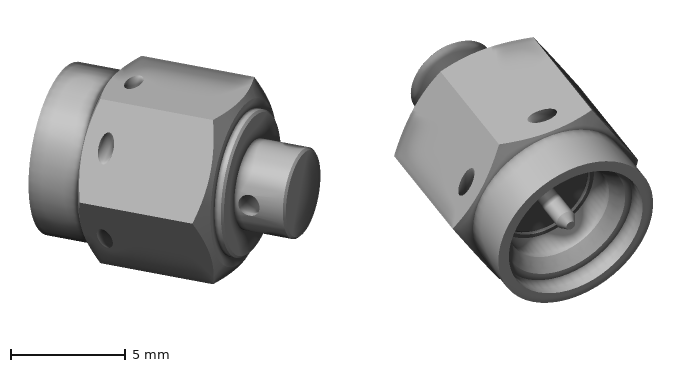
import cadquery as cq
import math


collar_radius = 3.85
collar_length = 2.31
hex_across_flats = 8.0
hex_end = 8.6
hex_rear_face_radius = 3.76
hex_chamfer_angle = 30

mouth_radius = 3.33
mouth_depth = 0.96
socket_entry_radius = 2.99
socket_radius = 2.5
socket_cone_end = 1.53
socket_floor = 2.92

insulator_radius = 2.3
insulator_chamfer = 0.13
insulator_setback = 0.05

pin_radius = 0.46
pin_tip_radius = 0.22
pin_tip_start = 0.47
pin_tip_length = 0.42

washer_radius = 3.31
washer_end = 9.0
washer_chamfer = 0.1
ferrule_radius = 2.04
overall_length = 11.4
ferrule_chamfer = 0.1

solder_hole_diameter = 1.0
solder_hole_x = 9.69
wire_hole_diameter = 0.71
wire_hole_offset = 3.58
wire_hole_positions = [(0, 3.41), (120, 3.47), (240, 3.41)]


def revolve_about_x(points):
    """Revolve a closed outline of (x, radius) points about the X axis."""
    return cq.Workplane("XY").polyline(points).close().revolve(360, (0, 0, 0), (1, 0, 0))


def coupling_nut():
    """Hexagon with both ends turned to cones, plus the round front collar."""
    corner_radius = hex_across_flats / math.sqrt(3)
    slope = math.tan(math.radians(hex_chamfer_angle))
    front_chamfer = (corner_radius - collar_radius) * slope
    rear_chamfer = (corner_radius - hex_rear_face_radius) * slope
    hexagon = (
        cq.Workplane("YZ", origin=(collar_length, 0, 0))
        .polygon(6, 2 * corner_radius)
        .extrude(hex_end - collar_length)
    )
    turned_envelope = revolve_about_x([
        (collar_length, 0),
        (collar_length, collar_radius),
        (collar_length + front_chamfer, corner_radius),
        (hex_end - rear_chamfer, corner_radius),
        (hex_end, hex_rear_face_radius),
        (hex_end, 0),
    ])
    collar = cq.Workplane("YZ").circle(collar_radius).extrude(collar_length)
    return hexagon.intersect(turned_envelope).union(collar)


def socket_cavity():
    """Space removed from the front, leaving the insulator face and the pin."""
    insulator_face = socket_floor + insulator_setback
    return revolve_about_x([
        (0, 0),
        (0, mouth_radius),
        (mouth_depth, mouth_radius),
        (mouth_depth, socket_entry_radius),
        (socket_cone_end, socket_radius),
        (socket_floor, socket_radius),
        (socket_floor, insulator_radius),
        (insulator_face + insulator_chamfer, insulator_radius),
        (insulator_face, insulator_radius - insulator_chamfer),
        (insulator_face, pin_radius),
        (pin_tip_start + pin_tip_length, pin_radius),
        (pin_tip_start, pin_tip_radius),
        (pin_tip_start, 0),
    ])


def rear_end():
    """Washer and cable ferrule behind the hexagon, both with a chamfered rear rim."""
    return revolve_about_x([
        (hex_end, 0),
        (hex_end, washer_radius),
        (washer_end - washer_chamfer, washer_radius),
        (washer_end, washer_radius - washer_chamfer),
        (washer_end, ferrule_radius),
        (overall_length - ferrule_chamfer, ferrule_radius),
        (overall_length, ferrule_radius - ferrule_chamfer),
        (overall_length, 0),
    ])


def solder_hole():
    """Hole straight across the ferrule along Y."""
    return (
        cq.Workplane("XZ")
        .center(solder_hole_x, 0)
        .circle(solder_hole_diameter / 2)
        .extrude(washer_radius, both=True)
    )


def wire_hole(angle, x):
    """Locking-wire hole across one hexagon corner, turned about X by the angle."""
    return (
        cq.Workplane("XY")
        .center(x, wire_hole_offset)
        .circle(wire_hole_diameter / 2)
        .extrude(hex_across_flats / 2, both=True)
        .rotate((0, 0, 0), (1, 0, 0), angle)
    )


result = coupling_nut().union(rear_end()).cut(socket_cavity()).cut(solder_hole())
for hole_angle, hole_x in wire_hole_positions:
    result = result.cut(wire_hole(hole_angle, hole_x))